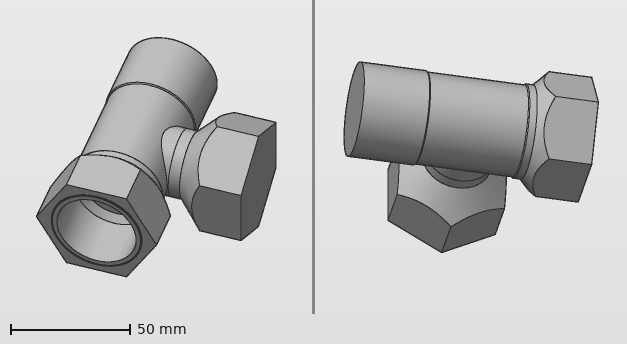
import cadquery as cq

run_length = 99.0
waist_diameter = 39.0
collar_diameter = 40.0
collar_length = 28.5
collar_chamfer = (collar_diameter - waist_diameter) / 2

bore_diameter = 35.0
bore_floor_diameter = 29.1
bore_straight_depth = 23.4
bore_cone_depth = (bore_diameter - bore_floor_diameter) / 2

branch_y = run_length / 2
neck_diameter = 29.5
neck_length = 4.95
stub_end_x = collar_diameter / 2
neck_end_x = stub_end_x + neck_length

envelope_x = 81.6
nut_across_corners = 53.2
nut_corner_radius = nut_across_corners / 2
nut_corner_edge_length = 18.3
branch_nut_face_x = envelope_x - nut_corner_radius
nut_height = branch_nut_face_x - neck_end_x


def cylinder_along_x(diameter, start_x, end_x):
    """Cylinder on the branch axis between two X positions."""
    return (
        cq.Workplane("YZ", origin=(start_x, branch_y, 0))
        .circle(diameter / 2)
        .extrude(end_x - start_x)
    )


def make_run_body():
    collar_radius = collar_diameter / 2
    waist_radius = waist_diameter / 2
    rear_collar_y = run_length - collar_length
    profile = (
        cq.Workplane("XY")
        .moveTo(0, bore_straight_depth + bore_cone_depth)
        .lineTo(bore_floor_diameter / 2, bore_straight_depth + bore_cone_depth)
        .lineTo(bore_diameter / 2, bore_straight_depth)
        .lineTo(bore_diameter / 2, 0)
        .lineTo(waist_radius, 0)
        .lineTo(collar_radius, collar_chamfer)
        .lineTo(collar_radius, collar_length - collar_chamfer)
        .lineTo(waist_radius, collar_length)
        .lineTo(waist_radius, rear_collar_y)
        .lineTo(collar_radius, rear_collar_y + collar_chamfer)
        .lineTo(collar_radius, run_length)
        .lineTo(0, run_length)
        .close()
    )
    turned_bar = profile.revolve(360, (0, 0, 0), (0, 1, 0))

    bore_radius = bore_diameter / 2
    stub = cylinder_along_x(neck_diameter, 0, stub_end_x)
    bore_clearance = (
        cq.Workplane("XZ")
        .circle((bore_radius + waist_radius) / 2)
        .extrude(-run_length)
    )
    return turned_bar.union(stub.cut(bore_clearance))


def make_neck():
    return cylinder_along_x(neck_diameter, stub_end_x, neck_end_x)


def make_nut():
    """Solid nut on the Z axis, with its flat face at Z = 0 and its cone toward +Z."""
    hexagon = cq.Workplane("XY").polygon(6, nut_across_corners).extrude(nut_height)
    cone_envelope = (
        cq.Workplane("XZ")
        .lineTo(nut_corner_radius, 0)
        .lineTo(nut_corner_radius, nut_corner_edge_length)
        .lineTo(neck_diameter / 2, nut_height)
        .lineTo(0, nut_height)
        .close()
        .revolve(360, (0, 0, 0), (0, 1, 0))
    )
    return hexagon.intersect(cone_envelope)


def make_run_nut():
    """Nut around the front collar, its face flush with the front end of the run body."""
    nut = make_nut().rotate((0, 0, 0), (1, 0, 0), -90)
    collar_hole = cq.Workplane("XZ").circle(collar_diameter / 2).extrude(-nut_height)
    return nut.cut(collar_hole)


def make_branch_nut():
    """Nut on the end of the neck, with hexagon corners at the top and bottom."""
    return (
        make_nut()
        .rotate((0, 0, 0), (0, 1, 0), -90)
        .translate((branch_nut_face_x, branch_y, 0))
    )


run_body = make_run_body()
neck = make_neck()
run_nut = make_run_nut()
branch_nut = make_branch_nut()

result = cq.Compound.makeCompound([run_body.val(), neck.val(), run_nut.val(), branch_nut.val()])